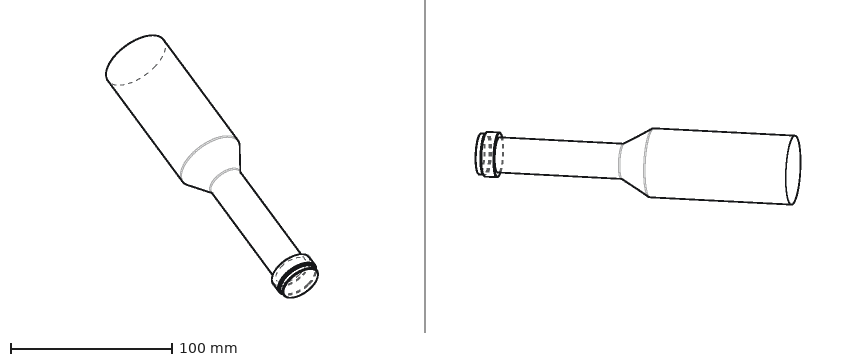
import cadquery as cq
import math

total_length = 199.1

handle_radius = 21.5
handle_length = 90.0
cone_half_angle = 30.0
shoulder_fillet = 2.0
neck_fillet = 2.0

shaft_radius = 11.0

collar_radius = 14.0
collar_start = 187.0
collar_length = 8.2
collar_chamfer = 0.4
spigot_radius = 12.9
spigot_chamfer = 0.5
groove_width = 0.7
groove_radius = 12.5

cone_length = (handle_radius - shaft_radius) / math.tan(math.radians(cone_half_angle))
cone_end = handle_length + cone_length
collar_end = collar_start + collar_length
groove_end = collar_end + groove_width


def make_turned_body():
    """Half profile in the XZ plane, turned about the X axis."""
    return (
        cq.Workplane("XZ")
        .moveTo(0, 0)
        .lineTo(0, handle_radius)
        .lineTo(handle_length, handle_radius)
        .lineTo(cone_end, shaft_radius)
        .lineTo(collar_start, shaft_radius)
        .lineTo(collar_start, collar_radius - collar_chamfer)
        .lineTo(collar_start + collar_chamfer, collar_radius)
        .lineTo(collar_end - collar_chamfer, collar_radius)
        .lineTo(collar_end, collar_radius - collar_chamfer)
        .lineTo(collar_end, groove_radius)
        .lineTo(groove_end, groove_radius)
        .lineTo(groove_end, spigot_radius)
        .lineTo(total_length - spigot_chamfer, spigot_radius)
        .lineTo(total_length, spigot_radius - spigot_chamfer)
        .lineTo(total_length, 0)
        .close()
        .revolve(360, (0, 0, 0), (1, 0, 0))
    )


def fillet_ring(body, station, ring_radius, fillet_radius):
    """Fillet the circular edge of the given radius at one station along X."""
    margin = 0.1
    reach = ring_radius + margin
    ring = cq.selectors.BoxSelector(
        (station - margin, -reach, -reach),
        (station + margin, reach, reach),
        boundingbox=True,
    )
    return body.edges(ring).fillet(fillet_radius)


body = make_turned_body()
body = fillet_ring(body, handle_length, handle_radius, shoulder_fillet)
result = fillet_ring(body, cone_end, shaft_radius, neck_fillet)